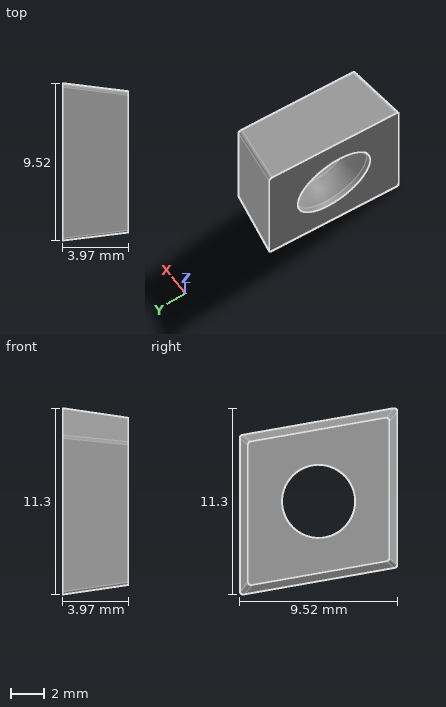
import cadquery as cq
import math

thickness = 3.97
inscribed_diameter = 9.52
nose_angle = 80.0
clearance_angle = 7.0
nose_radius = 0.2

bore_radius = 2.2
mouth_radius = 2.66
lip_depth = 0.32
lip_radius = 2.60
seat_end_depth = 1.75


def insert_body():
    """Rhombus with two sides parallel to Z, tapered along +X, corners rounded."""
    half_width = inscribed_diameter / 2
    tilt = math.radians(90 - nose_angle)
    side_half_length = half_width / math.cos(tilt)
    side_rise = half_width * math.tan(tilt)
    corners = [
        (-half_width, -side_half_length - side_rise),
        (half_width, -side_half_length + side_rise),
        (half_width, side_half_length + side_rise),
        (-half_width, side_half_length - side_rise),
    ]
    body = cq.Workplane("YZ").polyline(corners).close().extrude(thickness, taper=clearance_angle)
    corner_edges = body.edges("not(#X)")
    return corner_edges.fillet(nose_radius)


def screw_hole():
    """Revolved hole: conical lip, convex seat tangent to the bore, straight bore."""
    seat_length = seat_end_depth - lip_depth
    seat_drop = lip_radius - bore_radius
    seat_arc_radius = (seat_length**2 + seat_drop**2) / (2 * seat_drop)
    half_sweep = math.asin(seat_length / seat_arc_radius) / 2
    seat_middle = (
        seat_end_depth - seat_arc_radius * math.sin(half_sweep),
        bore_radius + seat_arc_radius * (1 - math.cos(half_sweep)),
    )
    return (
        cq.Workplane("XY")
        .moveTo(0, 0)
        .lineTo(0, mouth_radius)
        .lineTo(lip_depth, lip_radius)
        .threePointArc(seat_middle, (seat_end_depth, bore_radius))
        .lineTo(thickness, bore_radius)
        .lineTo(thickness, 0)
        .close()
        .revolve(360, (0, 0, 0), (1, 0, 0))
    )


result = insert_body().cut(screw_hole())